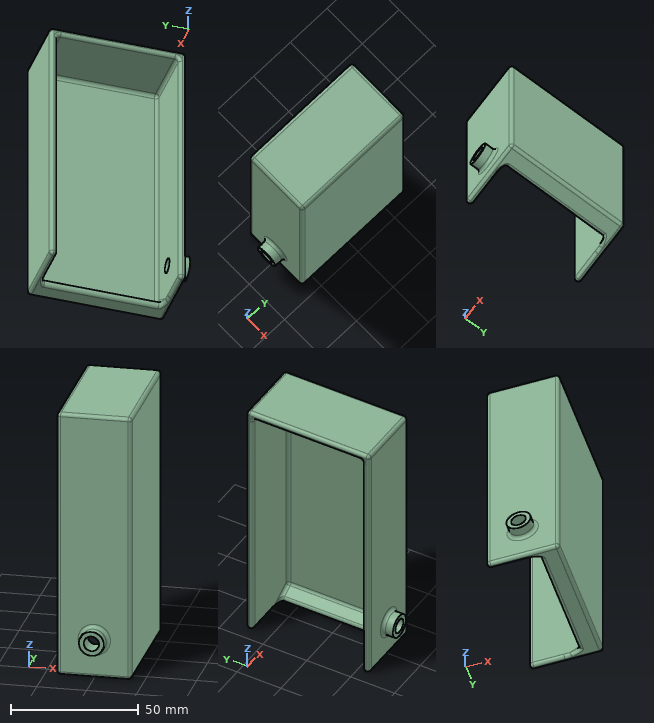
import cadquery as cq
import math

depth = 30.0
total_width = 61.0
height = 110.0
wall = 3.0
rim_flat = 0.01
edge_radius = (wall - rim_flat) / 2

spout_length = 5.0
spout_diameter = 10.0
bore_diameter = 6.0
spout_height = 16.0

sill_angle = 30.0
sill_height = 5.6

width = total_width - spout_length
spout_x = depth / 2
sill_slope = math.tan(math.radians(sill_angle))


def make_cavity():
    """Inner space, open towards -X and -Z, with its concave edges rounded."""
    overshoot = 11.0
    back = depth - wall
    sill_tip_x = back - sill_height / sill_slope
    slope_end = (sill_tip_x - overshoot, -overshoot * sill_slope)
    profile = [
        (-overshoot, slope_end[1]),
        slope_end,
        (back, sill_height),
        (back, height - wall),
        (-overshoot, height - wall),
    ]
    cavity = (
        cq.Workplane("XZ", origin=(0, width - wall, 0))
        .polyline(profile)
        .close()
        .extrude(width - 2 * wall)
    )
    margin = overshoot / 2
    rounded_zone = cq.selectors.BoxSelector((-margin, -margin, -margin), (depth, width, height))
    return cavity.edges(rounded_zone).fillet(edge_radius)


def make_shell():
    """Box with its cavity removed and every outer and rim edge rounded."""
    shell = cq.Workplane("XY").box(depth, width, height, centered=False).cut(make_cavity())
    boundary_faces = shell.faces("<X or >X or <Y or >Y or <Z or >Z")
    return boundary_faces.edges().fillet(edge_radius)


def spout_cylinder(diameter, start_y, end_y):
    """Cylinder along Y on the spout axis."""
    return (
        cq.Workplane("XZ", origin=(spout_x, end_y, spout_height))
        .circle(diameter / 2)
        .extrude(end_y - start_y)
    )


def add_spout(shell):
    """Join the spout with a rounded root and bore it through the wall."""
    spout = spout_cylinder(spout_diameter, -spout_length, wall / 2)
    bore = spout_cylinder(bore_diameter, -spout_length, wall)
    half_zone = spout_diameter
    spout_root = cq.selectors.BoxSelector(
        (spout_x - half_zone, -edge_radius / 2, spout_height - half_zone),
        (spout_x + half_zone, edge_radius / 2, spout_height + half_zone),
    )
    joined = shell.union(spout)
    return joined.edges(spout_root).edges("%CIRCLE").fillet(edge_radius).cut(bore)


result = add_spout(make_shell())